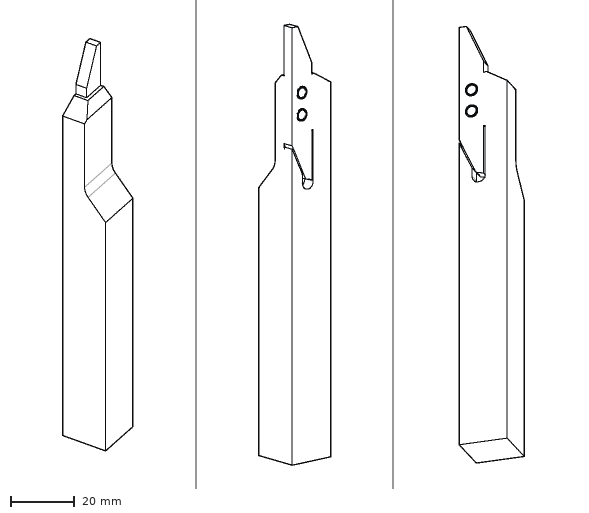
import cadquery as cq

WIDTH = 16.0
DEPTH = 16.0
TOTAL_HEIGHT = 141.6
BACK = DEPTH / 2

SHANK_TOP = TOTAL_HEIGHT - 16.3
NECK_WIDTH = 8.2
NECK_BOTTOM = TOTAL_HEIGHT - 46.2
NECK_FILLET = 5.0
SHOULDER_TOP = TOTAL_HEIGHT - 54.8
TOP_CHAMFER_WIDTH = 3.0
TOP_CHAMFER_DROP = 3.1
BEVEL_START = 9.3
BEVEL_DROP = 3.9

BLADE_THICKNESS = 4.0
BLADE_WIDTH = 8.2
TIP_WIDTH = 2.4
TIP_SLOPE_DROP = 12.7
BLADE_BACK_END = TOTAL_HEIGHT - 38.2
BLADE_FOOT = TOTAL_HEIGHT - 50.6
FOOT_WIDTH = 2.6
FOOT_RISE = 0.7

TAIL_GAP = 1.1
SIDE_GAP = 0.5
SIDE_GAP_TOP = TOTAL_HEIGHT - 34.5
SLOT_RADIUS = 2.2
SLOT_CENTER_Z = TOTAL_HEIGHT - 51.1

SCREW_OFFSET = 4.1
SCREW_DROPS = (21.7, 28.9)
RING_OUTER_RADIUS = 2.0
RING_INNER_RADIUS = 1.6
RING_DEPTH = 0.4


def side_prism(points, thickness):
    """Extrude a closed outline of (distance from back, z) points from X = 0 toward +X."""
    outline = [(BACK - offset, z) for offset, z in points]
    return cq.Workplane("YZ").polyline(outline).close().extrude(thickness)


def make_shank():
    profile = [
        (0, 0),
        (WIDTH, 0),
        (WIDTH, SHOULDER_TOP),
        (NECK_WIDTH, NECK_BOTTOM),
        (NECK_WIDTH, SHANK_TOP - TOP_CHAMFER_DROP),
        (NECK_WIDTH - TOP_CHAMFER_WIDTH, SHANK_TOP),
        (0, SHANK_TOP),
    ]
    shank = cq.Workplane("XZ").polyline(profile).close().extrude(DEPTH / 2, both=True)
    corner = cq.selectors.NearestToPointSelector((NECK_WIDTH, 0, NECK_BOTTOM))
    shank = shank.edges("|Y").edges(corner).fillet(NECK_FILLET)
    bevel = [
        (BEVEL_START, SHANK_TOP),
        (DEPTH, SHANK_TOP),
        (DEPTH, SHANK_TOP - BEVEL_DROP),
    ]
    return shank.cut(side_prism(bevel, WIDTH))


def make_pocket():
    tail_end = BLADE_WIDTH - FOOT_WIDTH
    seat = side_prism(
        [
            (0, TOTAL_HEIGHT),
            (BLADE_WIDTH, TOTAL_HEIGHT),
            (BLADE_WIDTH, BLADE_FOOT - TAIL_GAP),
            (tail_end, BLADE_FOOT + FOOT_RISE - TAIL_GAP),
            (0, BLADE_BACK_END - TAIL_GAP),
        ],
        BLADE_THICKNESS,
    )
    slot_right = BLADE_WIDTH + SIDE_GAP
    slot_left = slot_right - 2 * SLOT_RADIUS
    slot = (
        cq.Workplane("YZ")
        .moveTo(BACK - slot_left, SIDE_GAP_TOP)
        .lineTo(BACK - slot_left, SLOT_CENTER_Z)
        .threePointArc(
            (BACK - slot_left - SLOT_RADIUS, SLOT_CENTER_Z - SLOT_RADIUS),
            (BACK - slot_right, SLOT_CENTER_Z),
        )
        .lineTo(BACK - slot_right, SIDE_GAP_TOP)
        .close()
        .extrude(BLADE_THICKNESS)
    )
    return seat.union(slot)


def make_blade():
    return side_prism(
        [
            (0, TOTAL_HEIGHT),
            (TIP_WIDTH, TOTAL_HEIGHT),
            (BLADE_WIDTH, TOTAL_HEIGHT - TIP_SLOPE_DROP),
            (BLADE_WIDTH, BLADE_FOOT),
            (BLADE_WIDTH - FOOT_WIDTH, BLADE_FOOT + FOOT_RISE),
            (0, BLADE_BACK_END),
        ],
        BLADE_THICKNESS,
    )


def make_screw_rings():
    centers = [(BACK - SCREW_OFFSET, TOTAL_HEIGHT - drop) for drop in SCREW_DROPS]
    plane = cq.Workplane("YZ").pushPoints(centers)
    outer = plane.circle(RING_OUTER_RADIUS).extrude(RING_DEPTH)
    inner = plane.circle(RING_INNER_RADIUS).extrude(RING_DEPTH)
    return outer.cut(inner)


result = make_shank().cut(make_pocket()).union(make_blade()).cut(make_screw_rings())